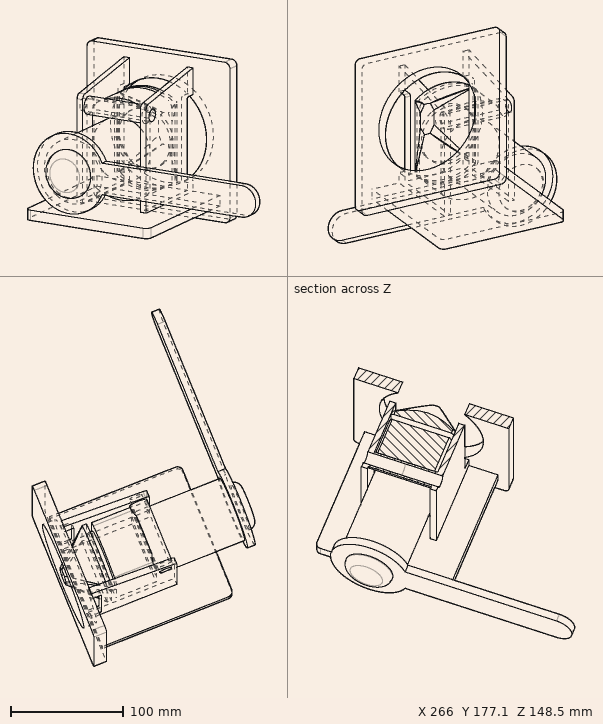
import cadquery as cq
import math


plate_width = 147.5
plate_height = 148.5
plate_thickness = 12.2
corner_radius = 5.3
opening_radius = 49.5
shelf_width = 126.5
shelf_length = 126.0
shelf_thickness = 9.5
shelf_top = -49.7

wall_gap = 59.5
wall_thickness = 5.9
wall_length = 82.5
wall_back_top = 64.5
wall_front_top = 49.5
wall_corner_radius = 4.5
notch_depth = 10.0
notch_half_height = 39.6
notch_radius = 1.9

shaft_radius = wall_gap / 2
handle_front = 157.2
handle_thickness = 7.5
handle_disc_radius = 37.0
handle_end_radius = 14.5
handle_reach = 266 - plate_width / 2
boss_radius = 22.3
boss_height = 7.7
boss_fillet = 7.0

lug_radius = 47.0
lug_front = 65.5
lug_back = 27.0
lug_fillet = 10.0
neck_radius = 28.0
head_front = 22.0
cone_base = 18.0
cone_tip = -plate_thickness
tip_radius = 15.0
tip_flat_half_width = 7.0
tip_flat_half_height = 7.2
tip_arc_half_width = 3.0
strip_start_width = 0.13

tube_radius = 8.2
tube_bore_radius = 5.72
tube_y = -71.8
tube_z = shaft_radius + tube_radius


def disc(radius, front, back):
    """Cylinder on the pin axis; front and back are distances before the mounting plate."""
    return cq.Workplane("XZ").workplane(offset=back).circle(radius).extrude(front - back)


def cross_cylinder(radius, length):
    """Cylinder along X, centred on the cross tube."""
    return (
        cq.Workplane("YZ")
        .center(tube_y, tube_z)
        .circle(radius)
        .extrude(length / 2, both=True)
    )


def make_plate():
    plate = (
        cq.Workplane("XZ")
        .rect(plate_width, plate_height)
        .extrude(-plate_thickness)
        .edges("|Y")
        .fillet(corner_radius)
    )
    return plate.cut(disc(opening_radius, 0, -plate_thickness))


def make_shelf():
    return (
        cq.Workplane("XY", origin=(0, -shelf_length / 2, shelf_top - shelf_thickness))
        .rect(shelf_width, shelf_length)
        .extrude(shelf_thickness)
        .edges("|Z and <Y")
        .fillet(corner_radius)
    )


def make_wall(inner_x):
    wall = (
        cq.Workplane("YZ", origin=(inner_x, 0, 0))
        .moveTo(0, shelf_top)
        .lineTo(-wall_length, shelf_top)
        .lineTo(-wall_length, wall_front_top)
        .lineTo(0, wall_back_top)
        .close()
        .extrude(wall_thickness)
    )
    top_corner = (inner_x + wall_thickness / 2, -wall_length, wall_front_top)
    wall = wall.edges(cq.selectors.NearestToPointSelector(top_corner)).fillet(wall_corner_radius)
    notch = (
        cq.Workplane("YZ", origin=(inner_x, 0, 0))
        .rect(2 * notch_depth, 2 * notch_half_height)
        .extrude(wall_thickness)
        .edges("|X")
        .fillet(notch_radius)
    )
    return wall.cut(notch)


def make_bracket():
    bracket = make_plate().union(make_shelf())
    for inner_x in (wall_gap / 2, -wall_gap / 2 - wall_thickness):
        bracket = bracket.union(make_wall(inner_x))
    bracket = bracket.union(cross_cylinder(tube_radius, wall_gap))
    return bracket.cut(cross_cylinder(tube_bore_radius, wall_gap + 2 * wall_thickness))


def flattened_disc(front, back):
    """Disc with both sides cut flat to the shaft width."""
    slab = cq.Workplane("XZ").workplane(offset=back)
    slab = slab.rect(2 * shaft_radius, 2 * lug_radius).extrude(front - back)
    return disc(lug_radius, front, back).intersect(slab)


def mirrored_outline(quarter):
    """Closed outline from its +X +Z quarter, mirrored to all four quarters."""
    right = [(x, -z) for x, z in reversed(quarter)] + quarter
    left = [(-x, -z) for x, z in right]
    return right + left


def make_cone():
    """Cone with tapering flats, and a narrow strip that widens along each corner."""
    base_flat_half_height = math.sqrt(lug_radius**2 - shaft_radius**2)
    base_quarter = [
        (shaft_radius, base_flat_half_height - strip_start_width),
        (shaft_radius - strip_start_width, base_flat_half_height),
        (shaft_radius - strip_start_width, lug_radius),
    ]
    tip_quarter = [
        (tip_flat_half_width, tip_flat_half_height),
        (tip_arc_half_width, math.sqrt(tip_radius**2 - tip_arc_half_width**2)),
        (tip_arc_half_width, tip_radius),
    ]
    flats = (
        cq.Workplane("XZ")
        .workplane(offset=cone_base)
        .polyline(mirrored_outline(base_quarter))
        .close()
        .workplane(offset=cone_tip - cone_base)
        .polyline(mirrored_outline(tip_quarter))
        .close()
        .loft(ruled=True)
    )
    round_cone = (
        cq.Workplane("XY")
        .moveTo(0, -cone_base)
        .lineTo(lug_radius, -cone_base)
        .lineTo(tip_radius, -cone_tip)
        .lineTo(0, -cone_tip)
        .close()
        .revolve(360, (0, 0, 0), (0, 1, 0))
    )
    return round_cone.intersect(flats)


def make_handle():
    handle_back = handle_front - handle_thickness
    arm_length = handle_reach - handle_end_radius
    arm = (
        cq.Workplane("XZ")
        .workplane(offset=handle_back)
        .moveTo(0, -handle_end_radius)
        .lineTo(arm_length, -handle_end_radius)
        .threePointArc((handle_reach, 0), (arm_length, handle_end_radius))
        .lineTo(0, handle_end_radius)
        .close()
        .extrude(handle_thickness)
    )
    boss = disc(boss_radius, handle_front + boss_height, handle_front)
    boss = boss.faces("<Y").edges().fillet(boss_fillet)
    return disc(handle_disc_radius, handle_front, handle_back).union(arm).union(boss)


def make_pin():
    lug = flattened_disc(lug_front, lug_back).edges("|Y").fillet(lug_fillet)
    pin = make_cone().union(flattened_disc(head_front, cone_base))
    pin = pin.union(disc(neck_radius, lug_back, head_front))
    pin = pin.union(lug)
    pin = pin.union(disc(shaft_radius, handle_front - handle_thickness, lug_front))
    pin = pin.union(make_handle())
    return pin.cut(cross_cylinder(tube_radius, wall_gap))


bracket = make_bracket()
pin = make_pin()

result = cq.Compound.makeCompound([bracket.solids().val(), pin.solids().val()])